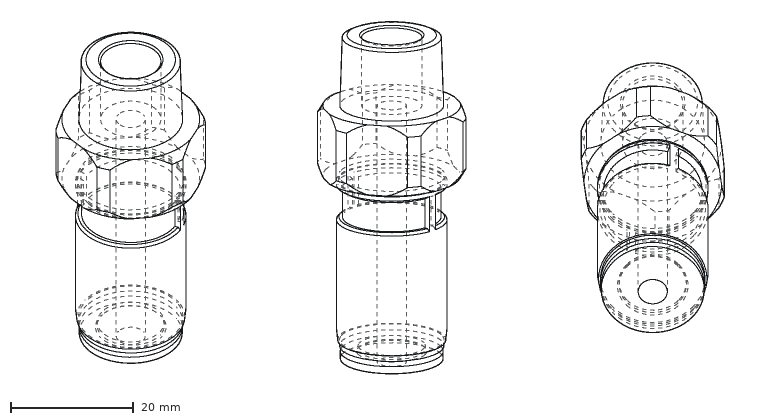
import cadquery as cq
import math

total_height = 55.8
hex_top = 43.8
hex_bottom = 31.85
collar_top = 31.0
groove_top_edge = 30.3
groove_top = 29.75
groove_bottom = 24.8
groove_bottom_edge = 24.35
body_taper_top = 5.7
body_bottom = 3.8
end_step_bottom = 2.8
ring_top = 1.85
ring_edge = 0.6

thread_end_diameter = 16.2
thread_root_diameter = 16.9
thread_chamfer_diameter = 14.55
neck_diameter = 17.4
body_diameter = 18.0
body_taper_diameter = 17.65
groove_diameter = 16.05
groove_ledge_diameter = 17.2
end_step_diameter = 17.0
ring_neck_diameter = 10.95
ring_diameter = 16.8
ring_face_diameter = 9.55
bore_diameter = 9.8
through_diameter = 4.75

across_flats = 22.2
across_corners = 24.45
hex_face_diameter = 22.45
hex_chamfer_height = 1.7
rib_width = 1.5
thread_chamfer_height = 0.4
ring_neck_flare = 0.3
bore_chamfer = 0.35
bore_depth = total_height - hex_top


def revolve_profile(steps):
    """Revolve a closed outline of (diameter, height) corners about Z."""
    outline = [(diameter / 2, height) for diameter, height in steps]
    return cq.Workplane("XZ").polyline(outline).close().revolve(360, (0, 0), (0, 1))


def make_turned_body():
    return revolve_profile([
        (0, 0),
        (ring_face_diameter, 0),
        (ring_diameter, ring_edge),
        (ring_diameter, ring_top),
        (ring_neck_diameter + 2 * ring_neck_flare, ring_top),
        (ring_neck_diameter, ring_top + ring_neck_flare),
        (ring_neck_diameter, end_step_bottom),
        (end_step_diameter, end_step_bottom),
        (end_step_diameter, body_bottom),
        (body_taper_diameter, body_bottom),
        (body_diameter, body_taper_top),
        (body_diameter, groove_bottom_edge),
        (groove_ledge_diameter, groove_bottom),
        (groove_diameter, groove_bottom),
        (groove_diameter, groove_top),
        (body_diameter, groove_top_edge),
        (body_diameter, collar_top),
        (neck_diameter, collar_top),
        (neck_diameter, hex_bottom),
        (thread_root_diameter, hex_bottom),
        (thread_root_diameter, hex_top),
        (thread_end_diameter, total_height - thread_chamfer_height),
        (thread_chamfer_diameter, total_height),
        (0, total_height),
    ])


def make_hexagon():
    """Hexagon with flats facing X, cut to a round blank with coned ends."""
    hexagon = (
        cq.Workplane("XY")
        .workplane(offset=hex_bottom)
        .polygon(6, across_flats / math.cos(math.pi / 6))
        .extrude(hex_top - hex_bottom)
        .rotate((0, 0, 0), (0, 0, 1), 30)
    )
    blank = revolve_profile([
        (0, hex_bottom),
        (hex_face_diameter, hex_bottom),
        (across_corners, hex_bottom + hex_chamfer_height),
        (across_corners, hex_top - hex_chamfer_height),
        (hex_face_diameter, hex_top),
        (0, hex_top),
    ])
    return hexagon.intersect(blank)


def make_ribs():
    """Two opposite ribs bridging the groove, flush with the body."""
    rib_height = groove_top_edge - groove_bottom_edge
    plane = cq.Workplane("XY").workplane(offset=groove_bottom_edge)
    bar = plane.rect(body_diameter, rib_width).extrude(rib_height)
    return bar.intersect(plane.circle(body_diameter / 2).extrude(rib_height))


def make_bore():
    """Narrow through hole opening into a chamfered bore at the thread end."""
    bore_floor = total_height - bore_depth
    return revolve_profile([
        (0, 0),
        (through_diameter, 0),
        (through_diameter, bore_floor),
        (bore_diameter, bore_floor),
        (bore_diameter, total_height - bore_chamfer),
        (bore_diameter + 2 * bore_chamfer, total_height),
        (0, total_height),
    ])


result = make_turned_body().union(make_hexagon()).union(make_ribs()).cut(make_bore())